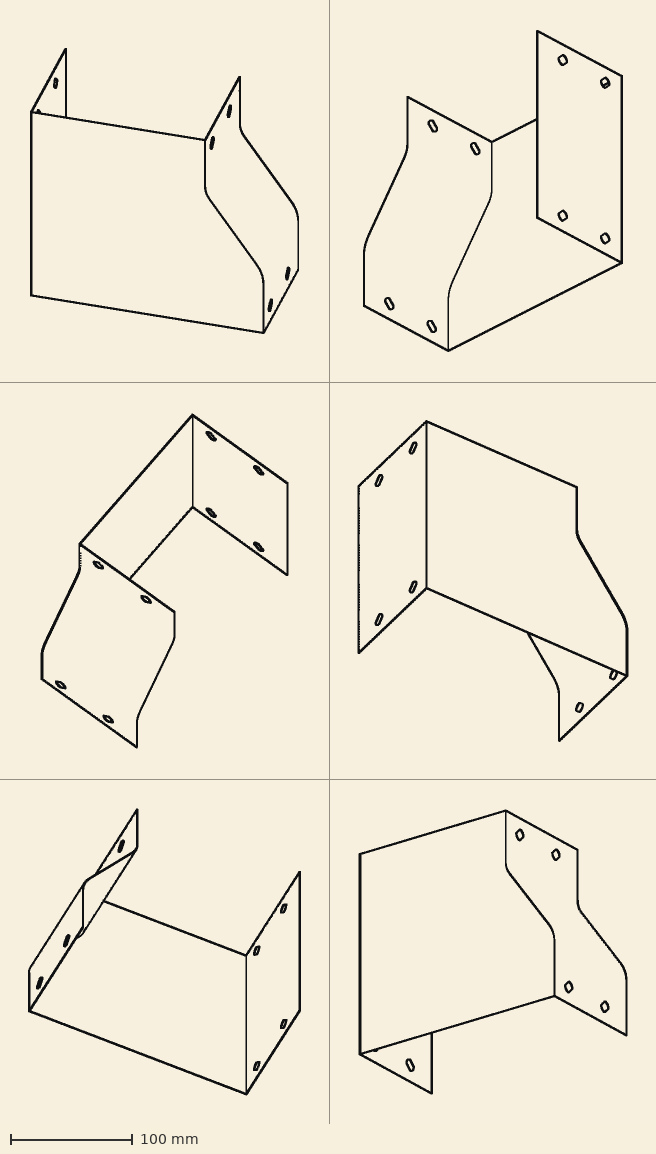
import cadquery as cq

BASE_WIDTH = 200.0
TOP_WIDTH = 150.0
DEPTH = 100.0
HEIGHT = 180.0
SHEET = 0.8

SLOPE_START_Z = 58.0
SLOPE_END_Z = 128.0
LOWER_BEND_RADIUS = 30.0
UPPER_BEND_RADIUS = 20.0

SLOT_LENGTH = 10.0
SLOT_WIDTH = 7.0
SLOT_TILT = 45.0
SLOT_END_MARGIN = 15.0
SLOT_FRONT_MARGIN = 20.0
SLOT_SPACING = 50.0


def solid_envelope():
    """Full-depth block with the outer side profile and rounded wall bends."""
    block = (
        cq.Workplane("XZ")
        .polyline([
            (0, 0),
            (BASE_WIDTH, 0),
            (BASE_WIDTH, SLOPE_START_Z),
            (TOP_WIDTH, SLOPE_END_Z),
            (TOP_WIDTH, HEIGHT),
            (0, HEIGHT),
        ])
        .close()
        .extrude(-DEPTH)
    )
    lower_bend = cq.selectors.NearestToPointSelector((BASE_WIDTH, DEPTH / 2, SLOPE_START_Z))
    upper_bend = cq.selectors.NearestToPointSelector((TOP_WIDTH, DEPTH / 2, SLOPE_END_Z))
    block = block.edges(lower_bend).fillet(LOWER_BEND_RADIUS)
    return block.edges(upper_bend).fillet(UPPER_BEND_RADIUS)


def sheet_shell():
    """Front panel and two side walls; the top, bottom and back are open."""
    return solid_envelope().faces(">Z or <Z or >Y").shell(-SHEET)


def slot_cutters(outer_face_x, tilt):
    """Four double-flat slots through the side wall whose outer face is at outer_face_x."""
    first_y = SLOT_FRONT_MARGIN
    rows = (SLOT_END_MARGIN, HEIGHT - SLOT_END_MARGIN)
    centres = [(y, z) for y in (first_y, first_y + SLOT_SPACING) for z in rows]
    wall_plane = cq.Workplane("YZ", origin=(outer_face_x, 0, 0)).pushPoints(centres)
    cutter_reach = 2 * SHEET
    rounds = wall_plane.circle(SLOT_LENGTH / 2).extrude(cutter_reach, both=True)
    flats_outline = cq.Sketch().rect(SLOT_LENGTH, SLOT_WIDTH, angle=tilt)
    flats = wall_plane.placeSketch(flats_outline).extrude(cutter_reach, both=True)
    return rounds.intersect(flats)


result = sheet_shell()

left_slots = slot_cutters(0, -SLOT_TILT)
lower_right_slots = slot_cutters(BASE_WIDTH, SLOT_TILT)
upper_right_slots = slot_cutters(TOP_WIDTH, SLOT_TILT)
result = result.cut(left_slots).cut(lower_right_slots).cut(upper_right_slots)